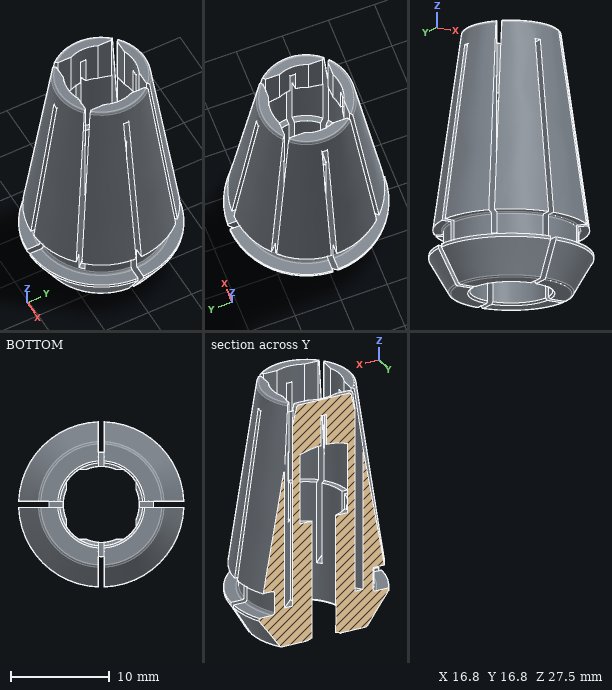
import cadquery as cq
import math

total_height = 27.5

flange_diameter = 16.8
flange_top = 3.95
flange_land_bottom = 3.63
nose_angle = 30.0
nose_fillet = 0.28

neck_radius = 6.9
neck_lower_fillet = 0.25
neck_upper_fillet = 0.16

taper_bottom = 6.65
taper_large_radius = 7.98
taper_angle = 8.0
tail_fillet = 0.25

clamp_radius = 4.2
clamp_chamfer = 0.22
relief_bottom = 13.75
relief_radius = 4.8
relief_roof_edge = 21.67
relief_roof_half_angle = 59.0
tail_bore_radius = 3.85
drive_square = 7.05

slot_width = 0.6
nose_slot_top = 25.58
tail_slot_floor = 4.48

match_tolerance = 0.0003

flange_radius = flange_diameter / 2
nose_radius = flange_radius - flange_land_bottom * math.tan(math.radians(nose_angle))
taper_height = total_height - taper_bottom
tail_radius = taper_large_radius - taper_height * math.tan(math.radians(taper_angle))


def revolve_profile(points):
    """Revolve a closed outline of (radius, height) points about the Z axis."""
    return cq.Workplane("XZ").polyline(points).close().revolve(360, (0, 0), (0, 1))


def round_circle(body, radius, height, fillet_radius):
    """Fillet the circular edge of the given radius and height."""
    circles = body.edges("%CIRCLE").filter(
        lambda edge: math.isclose(edge.radius(), radius)
        and math.isclose(edge.Center().z, height, abs_tol=match_tolerance)
    )
    return circles.fillet(fillet_radius)


def outer_body():
    """Solid of revolution with the nose flange, the extraction groove and the taper."""
    body = revolve_profile([
        (0, 0),
        (nose_radius, 0),
        (flange_radius, flange_land_bottom),
        (flange_radius, flange_top),
        (neck_radius, flange_top),
        (neck_radius, taper_bottom),
        (taper_large_radius, taper_bottom),
        (tail_radius, total_height),
        (0, total_height),
    ])
    body = round_circle(body, nose_radius, 0, nose_fillet)
    body = round_circle(body, neck_radius, flange_top, neck_lower_fillet)
    body = round_circle(body, neck_radius, taper_bottom, neck_upper_fillet)
    return round_circle(body, tail_radius, total_height, tail_fillet)


def bore():
    """Clamping bore, wider relief with a conical roof, and tail bore with the square drive."""
    roof_rise = (relief_radius - tail_bore_radius) / math.tan(math.radians(relief_roof_half_angle))
    round_bore = revolve_profile([
        (0, 0),
        (clamp_radius + clamp_chamfer, 0),
        (clamp_radius, clamp_chamfer),
        (clamp_radius, relief_bottom),
        (relief_radius, relief_bottom),
        (relief_radius, relief_roof_edge),
        (tail_bore_radius, relief_roof_edge + roof_rise),
        (tail_bore_radius, total_height),
        (0, total_height),
    ])
    square_start = relief_roof_edge
    drive = (
        cq.Workplane("XY", origin=(0, 0, square_start))
        .rect(drive_square, drive_square)
        .extrude(total_height - square_start)
    )
    return round_bore.union(drive)


def crossed_slots(bottom, top, angle):
    """Two slots crossing at the axis, turned by the given angle about Z."""
    slots = cq.Workplane("XY", origin=(0, 0, bottom))
    slots = slots.rect(flange_diameter, slot_width).extrude(top - bottom)
    return slots.union(slots.rotate((0, 0, 0), (0, 0, 1), 90)).rotate((0, 0, 0), (0, 0, 1), angle)


result = outer_body().cut(bore())
result = result.cut(crossed_slots(0, nose_slot_top, 0))
result = result.cut(crossed_slots(tail_slot_floor, total_height, 45))